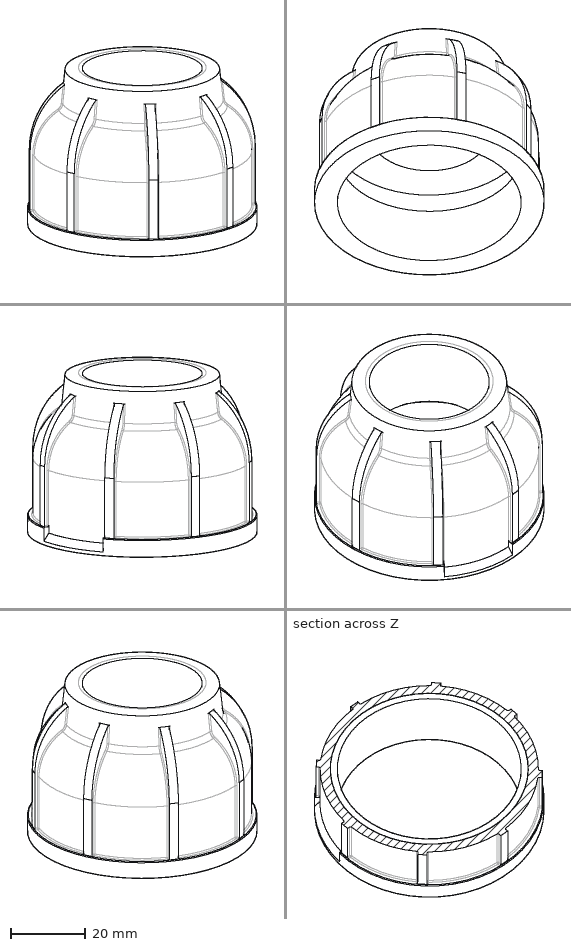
import cadquery as cq
import math

height = 44.0
flange_radius = 31.0
flange_height = 4.9
flange_chamfer = 0.25

body_radius = 29.5
body_top = 20.45
dome_radius = 15.25
neck_base_z = 34.6
neck_base_radius = 21.8
neck_top_z = 43.6
neck_top_radius = 20.9
neck_fillet = 2.5

bore_radius = 16.2
bore_chamfer = 1.05
bore_chamfer_depth = 0.2
chamber_radius = 26.65
chamber_top = 24.2
socket_radius = 24.8
socket_depth = 17.05

rib_count = 8
rib_width = 2.55
rib_radius = 30.55
rib_arc_start_z = 21.5
rib_arc_radius = 23.25
rib_inner_radius = 18.6
rib_blank_top = 42.15
root_fillet = 0.4

pick_margin = 0.6
tolerance = 0.005

window_floor_inner_z = 3.15
window_floor_outer_z = 1.05
window_top = 6.2
window_outer_radius = 31.6
window_after_rib = 3

dome_center_radius = body_radius - dome_radius
neck_taper = (neck_base_radius - neck_top_radius) / (neck_top_z - neck_base_z)
rib_pitch = 360.0 / rib_count
rib_angles = [rib_pitch * i for i in range(rib_count)]


def neck_radius_at(z):
    return neck_base_radius + neck_taper * (neck_base_z - z)


def arc_meets_neck(center_radius, center_z, radius):
    """Point where an upward bulging profile arc runs into the tapered neck line."""
    offset = neck_radius_at(center_z) - center_radius
    a = 1 + neck_taper**2
    b = -2 * neck_taper * offset
    c = offset**2 - radius**2
    rise = (-b + math.sqrt(b**2 - 4 * a * c)) / (2 * a)
    z = center_z + rise
    return neck_radius_at(z), z


def arc_midpoint(center_radius, center_z, radius, end):
    """Middle of the arc that starts level with its center and stops at `end`."""
    half_angle = math.atan2(end[1] - center_z, end[0] - center_radius) / 2
    return (
        center_radius + radius * math.cos(half_angle),
        center_z + radius * math.sin(half_angle),
    )


def make_outer_body():
    """Solid flange, cylinder, dome and neck, with the neck blended into the dome."""
    dome_end = arc_meets_neck(dome_center_radius, body_top, dome_radius)
    dome_mid = arc_midpoint(dome_center_radius, body_top, dome_radius, dome_end)
    body = (
        cq.Workplane("XZ")
        .lineTo(flange_radius, 0)
        .lineTo(flange_radius, flange_height - flange_chamfer)
        .lineTo(flange_radius - flange_chamfer, flange_height)
        .lineTo(body_radius, flange_height)
        .lineTo(body_radius, body_top)
        .threePointArc(dome_mid, dome_end)
        .lineTo(neck_top_radius, neck_top_z)
        .lineTo(bore_radius + bore_chamfer, height)
        .lineTo(0, height)
        .close()
        .revolve(360, (0, 0, 0), (0, 1, 0))
    )
    neck_root = cq.selectors.BoxSelector(
        (-flange_radius, -flange_radius, dome_end[1] - pick_margin),
        (flange_radius, flange_radius, dome_end[1] + pick_margin),
        boundingbox=True,
    )
    return body.edges(neck_root).fillet(neck_fillet)


def make_rib_blank(angle):
    """Square-topped rib standing on the flange, later trimmed to its curved outline."""
    return (
        cq.Workplane("XY", origin=(0, 0, flange_height))
        .center((rib_inner_radius + rib_radius) / 2, 0)
        .rect(rib_radius - rib_inner_radius, rib_width)
        .extrude(rib_blank_top - flange_height)
        .rotate((0, 0, 0), (0, 0, 1), angle)
    )


def is_rib_root(edge, angle):
    """True where a flank of the rib at `angle` meets the dome, neck, wall or flange."""
    middle = edge.positionAt(0.5)
    turn = math.radians(angle)
    along = middle.x * math.cos(turn) + middle.y * math.sin(turn)
    across = middle.y * math.cos(turn) - middle.x * math.sin(turn)
    return (
        abs(abs(across) - rib_width / 2) < tolerance
        and 0 < along < rib_radius - tolerance
        and middle.z < rib_blank_top - tolerance
    )


def is_wall_root(edge):
    """True where the cylindrical wall meets the top of the flange."""
    middle = edge.positionAt(0.5)
    on_flange = abs(middle.z - flange_height) < tolerance
    return on_flange and abs(math.hypot(middle.x, middle.y) - body_radius) < tolerance


def make_envelope():
    """Solid of revolution that gives the ribs their curved outer edges."""
    arc_center_radius = rib_radius - rib_arc_radius
    tip = arc_meets_neck(arc_center_radius, rib_arc_start_z, rib_arc_radius)
    arc_mid = arc_midpoint(arc_center_radius, rib_arc_start_z, rib_arc_radius, tip)
    return (
        cq.Workplane("XZ")
        .lineTo(flange_radius, 0)
        .lineTo(flange_radius, rib_arc_start_z)
        .lineTo(rib_radius, rib_arc_start_z)
        .threePointArc(arc_mid, tip)
        .lineTo(neck_top_radius, neck_top_z)
        .lineTo(bore_radius + bore_chamfer, height)
        .lineTo(0, height)
        .close()
        .revolve(360, (0, 0, 0), (0, 1, 0))
    )


def add_ribs(body):
    for angle in rib_angles:
        body = body.union(make_rib_blank(angle))
    roots = [
        edge
        for edge in body.edges().vals()
        if is_wall_root(edge) or any(is_rib_root(edge, angle) for angle in rib_angles)
    ]
    return body.newObject(roots).fillet(root_fillet).intersect(make_envelope())


def make_cavity():
    """Stepped bore from the open bottom to the chamfered rim of the neck."""
    return (
        cq.Workplane("XZ")
        .lineTo(socket_radius, 0)
        .lineTo(socket_radius, socket_depth)
        .lineTo(chamber_radius, socket_depth)
        .lineTo(chamber_radius, chamber_top)
        .lineTo(bore_radius, chamber_top)
        .lineTo(bore_radius, height - bore_chamfer_depth)
        .lineTo(bore_radius + bore_chamfer, height)
        .lineTo(0, height)
        .close()
        .revolve(360, (0, 0, 0), (0, 1, 0))
    )


def make_flange_window():
    """Ring with a sloping floor, kept only between the flanks of two neighbouring ribs."""
    ring = (
        cq.Workplane("XZ")
        .moveTo(body_radius, window_floor_inner_z)
        .lineTo(flange_radius, window_floor_outer_z)
        .lineTo(window_outer_radius, window_floor_outer_z)
        .lineTo(window_outer_radius, window_top)
        .lineTo(body_radius, window_top)
        .close()
        .revolve(360, (0, 0, 0), (0, 1, 0))
    )
    middle_angle = rib_pitch * (window_after_rib + 0.5)
    half_pitch = math.radians(rib_pitch / 2)
    apex = (rib_width / 2 + root_fillet) / math.sin(half_pitch)
    reach = 2 * flange_radius
    far_x = apex + reach * math.cos(half_pitch)
    far_y = reach * math.sin(half_pitch)
    sector = (
        cq.Workplane("XY")
        .polyline([(apex, 0), (far_x, far_y), (far_x, -far_y)])
        .close()
        .extrude(height)
        .rotate((0, 0, 0), (0, 0, 1), middle_angle)
    )
    return ring.intersect(sector)


result = add_ribs(make_outer_body()).cut(make_cavity()).cut(make_flange_window())